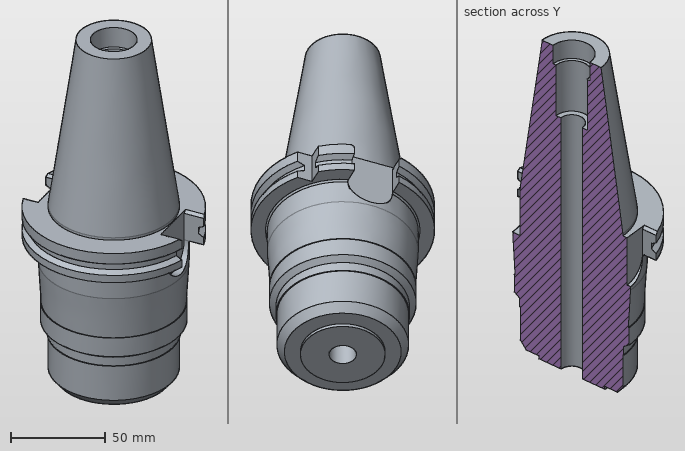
import cadquery as cq
import math


GAUGE_RADIUS = 34.925
TAPER_LENGTH = 101.75
TAPER_RATIO = 7 / 24
TAPER_TIP_RADIUS = GAUGE_RADIUS - TAPER_LENGTH * TAPER_RATIO / 2

FLANGE_RADIUS = 97.5 / 2
FLANGE_TOP = -1.5
FLANGE_THICKNESS = 18.0
FLANGE_BOTTOM = FLANGE_TOP - FLANGE_THICKNESS
GROOVE_RADIUS = 91.25 / 2
GROOVE_WIDTH = 7.0
GROOVE_FLANK_ANGLE = 30.0
GROOVE_FLANK_HEIGHT = (FLANGE_RADIUS - GROOVE_RADIUS) * math.tan(math.radians(GROOVE_FLANK_ANGLE))
UPPER_RIM_HEIGHT = 6.5
GROOVE_TOP = FLANGE_TOP - UPPER_RIM_HEIGHT
GROOVE_BOTTOM = GROOVE_TOP - GROOVE_WIDTH

COLLAR_RADIUS = 41.0
COLLAR_HEIGHT = 1.0
BODY_RADIUS = 40.1
BODY_TAPER_TOP = -34.6
BODY_TAPER_END_RADIUS = 38.6
SLEEVE_RADIUS = 39.0
SLEEVE_TOP = -59.7
SLEEVE_CHAMFER_HEIGHT = 2.5
BAND_RADIUS = 35.5
BAND_TOP = -73.6
BAND_BOTTOM = -79.2
NOSE_RADIUS = 35.0
NOSE_CHAMFER_TOP = -100.6
NOSE_END = -105.5
NOSE_END_RADIUS = 31.0
LIP_RADIUS = 22.5
OVERALL_LENGTH = 209.15
HOLDER_BOTTOM = TAPER_LENGTH - OVERALL_LENGTH

SLOT_WIDTH = 25.7
SLOT_RADIUS = SLOT_WIDTH / 2
SLOT_CENTRE_Z = FLANGE_BOTTOM
SLOT_CHAMFER = 1.6
SLOT_FLOOR_LEFT = 37.7
SLOT_FLOOR_RIGHT = 35.4

NOTCH_OFFSET = 30.0

COUNTERBORE_RADIUS = 12.4
COUNTERBORE_DEPTH = 12.0
THREAD_BORE_RADIUS = 10.5
THREAD_BORE_DEPTH = 45.0
THROUGH_RADIUS = 7.25


def make_body():
    profile = [
        (0, TAPER_LENGTH),
        (TAPER_TIP_RADIUS, TAPER_LENGTH),
        (GAUGE_RADIUS, 0),
        (GAUGE_RADIUS, FLANGE_TOP),
        (FLANGE_RADIUS, FLANGE_TOP),
        (FLANGE_RADIUS, GROOVE_TOP),
        (GROOVE_RADIUS, GROOVE_TOP - GROOVE_FLANK_HEIGHT),
        (GROOVE_RADIUS, GROOVE_BOTTOM + GROOVE_FLANK_HEIGHT),
        (FLANGE_RADIUS, GROOVE_BOTTOM),
        (FLANGE_RADIUS, FLANGE_BOTTOM),
        (COLLAR_RADIUS, FLANGE_BOTTOM),
        (BODY_RADIUS, FLANGE_BOTTOM - COLLAR_HEIGHT),
        (BODY_RADIUS, BODY_TAPER_TOP),
        (BODY_TAPER_END_RADIUS, SLEEVE_TOP),
        (SLEEVE_RADIUS, SLEEVE_TOP),
        (SLEEVE_RADIUS, BAND_TOP + SLEEVE_CHAMFER_HEIGHT),
        (BAND_RADIUS, BAND_TOP),
        (BAND_RADIUS, BAND_BOTTOM),
        (NOSE_RADIUS, BAND_BOTTOM),
        (NOSE_RADIUS, NOSE_CHAMFER_TOP),
        (NOSE_END_RADIUS, NOSE_END),
        (LIP_RADIUS, NOSE_END),
        (LIP_RADIUS, HOLDER_BOTTOM),
        (0, HOLDER_BOTTOM),
    ]
    return cq.Workplane("XZ").polyline(profile).close().revolve(360, (0, 0), (0, 1))


def make_slot(floor_distance, side):
    """Round-ended drive slot, open upward; side is -1 or +1 along X."""
    chamfered_half_width = SLOT_RADIUS + SLOT_CHAMFER
    outline = (
        cq.Workplane("YZ", origin=(side * floor_distance, 0, 0))
        .moveTo(-chamfered_half_width, FLANGE_TOP)
        .lineTo(-SLOT_RADIUS, FLANGE_TOP - SLOT_CHAMFER)
        .lineTo(-SLOT_RADIUS, SLOT_CENTRE_Z)
        .threePointArc((0, SLOT_CENTRE_Z - SLOT_RADIUS), (SLOT_RADIUS, SLOT_CENTRE_Z))
        .lineTo(SLOT_RADIUS, FLANGE_TOP - SLOT_CHAMFER)
        .lineTo(chamfered_half_width, FLANGE_TOP)
        .close()
    )
    return outline.extrude(side * FLANGE_RADIUS)


def make_notch():
    """Block that removes the flange corner beyond -X and +Y of the notch."""
    reach = FLANGE_RADIUS
    block = cq.Workplane("XY").box(reach, reach, FLANGE_THICKNESS, centered=False)
    return block.translate((-NOTCH_OFFSET - reach, NOTCH_OFFSET, FLANGE_BOTTOM))


def make_bore(radius, depth):
    """Cylinder going down from the small end of the taper."""
    return cq.Workplane("XY", origin=(0, 0, TAPER_LENGTH)).circle(radius).extrude(-depth)


result = make_body()
result = result.cut(make_slot(SLOT_FLOOR_LEFT, -1))
result = result.cut(make_slot(SLOT_FLOOR_RIGHT, 1))
result = result.cut(make_notch())
result = result.cut(make_bore(COUNTERBORE_RADIUS, COUNTERBORE_DEPTH))
result = result.cut(make_bore(THREAD_BORE_RADIUS, THREAD_BORE_DEPTH))
result = result.cut(make_bore(THROUGH_RADIUS, OVERALL_LENGTH))